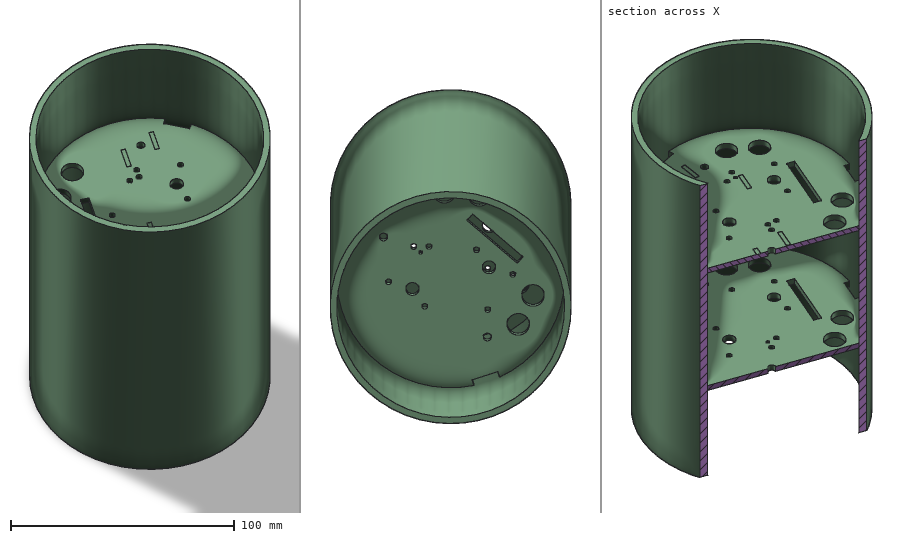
import cadquery as cq
import math

TUBE_HEIGHT = 170.0
TUBE_OUTER_DIAMETER = 108.0
BORE_DIAMETER = 102.0

PLATE_THICKNESS = 3.0
PLATE_SETBACK = 49.3
UPPER_PLATE_TOP = TUBE_HEIGHT - PLATE_SETBACK
LOWER_PLATE_TOP = PLATE_SETBACK + PLATE_THICKNESS

NOTCH_COUNT = 3
NOTCH_WIDTH = 12.0
NOTCH_FLAT_RADIUS = 48.0
FIRST_NOTCH_ANGLE = 30.0

CABLE_DIAMETER = 10.0
CABLE_CENTRES = [(36.9, -3.9), (33.0, -18.4), (-28.5, -28.0), (-15.8, -37.4)]
ROD_DIAMETER = 6.0
ROD_X = 9.5
ROD_Y = -15.1
ROD_CENTRES = [(ROD_X, ROD_Y), (-ROD_X, -ROD_Y)]
SCREW_DIAMETER = 3.5
SCREW_CENTRES = [(-35.2, 5.6), (30.5, 9.7)]
PEG_DIAMETER = 2.5
DIAGONAL_PEG = 19.7
CROSS_PEG_X = 22.1
CROSS_PEG_Y = 17.5
SIDE_PEG_X = 17.0
SIDE_PEG_Y = 4.6
PEG_CENTRES = [
    (-DIAGONAL_PEG, DIAGONAL_PEG),
    (DIAGONAL_PEG, -DIAGONAL_PEG),
    (0, CROSS_PEG_Y),
    (0, -CROSS_PEG_Y),
    (-CROSS_PEG_X, 0),
    (CROSS_PEG_X, 0),
    (-SIDE_PEG_X, -SIDE_PEG_Y),
]

WIRE_DIAMETER = 1.6
WIRE_X = 18.0
UPPER_PEG_CENTRES = [(SIDE_PEG_X, SIDE_PEG_Y), (-WIRE_X, 0)]
UPPER_WIRE_CENTRES = [(WIRE_X, 0)]
LOWER_WIRE_CENTRES = [(-WIRE_X, 0)]

WINDOW_LENGTH = 30.1
WINDOW_WIDTH = 3.9
WINDOW_X = 2.7
WINDOW_Y = -26.9

RECESS_LENGTH = 10.0
RECESS_WIDTH = 2.0
RECESS_DEPTH = 0.2
RECESS_PLACES = [(-36.2, 12.0, 0), (-30.0, -2.7, 0), (13.6, -2.7, 0), (30.1, 16.8, 15)]


def make_tube():
    ring = cq.Workplane("XY").circle(TUBE_OUTER_DIAMETER / 2).circle(BORE_DIAMETER / 2)
    return ring.extrude(TUBE_HEIGHT)


def drill(plate, diameter, centres):
    drills = cq.Workplane("XY").pushPoints(centres).circle(diameter / 2).extrude(-PLATE_THICKNESS)
    return plate.cut(drills)


def cut_rectangle(plate, length, width, depth, x, y, turn=0):
    cutter = cq.Workplane("XY").rect(length, width).extrude(-depth)
    cutter = cutter.rotate((0, 0, 0), (0, 0, 1), turn).translate((x, y, 0))
    return plate.cut(cutter)


def cut_notches(plate):
    cutter_length = BORE_DIAMETER / 2 - NOTCH_FLAT_RADIUS
    cutter_radius = NOTCH_FLAT_RADIUS + cutter_length / 2
    for i in range(NOTCH_COUNT):
        angle = FIRST_NOTCH_ANGLE + i * 360 / NOTCH_COUNT
        x = cutter_radius * math.cos(math.radians(angle))
        y = cutter_radius * math.sin(math.radians(angle))
        plate = cut_rectangle(plate, cutter_length, NOTCH_WIDTH, PLATE_THICKNESS, x, y, angle)
    return plate


def make_common_plate():
    plate = cq.Workplane("XY").circle(BORE_DIAMETER / 2).extrude(-PLATE_THICKNESS)
    plate = cut_notches(plate)
    plate = drill(plate, CABLE_DIAMETER, CABLE_CENTRES)
    plate = drill(plate, ROD_DIAMETER, ROD_CENTRES)
    plate = drill(plate, SCREW_DIAMETER, SCREW_CENTRES)
    plate = drill(plate, PEG_DIAMETER, PEG_CENTRES)
    return cut_rectangle(plate, WINDOW_LENGTH, WINDOW_WIDTH, PLATE_THICKNESS, WINDOW_X, WINDOW_Y)


def make_upper_plate():
    plate = make_common_plate()
    plate = drill(plate, PEG_DIAMETER, UPPER_PEG_CENTRES)
    plate = drill(plate, WIRE_DIAMETER, UPPER_WIRE_CENTRES)
    for x, y, turn in RECESS_PLACES:
        plate = cut_rectangle(plate, RECESS_LENGTH, RECESS_WIDTH, RECESS_DEPTH, x, y, turn)
    return plate.translate((0, 0, UPPER_PLATE_TOP))


def make_lower_plate():
    plate = drill(make_common_plate(), WIRE_DIAMETER, LOWER_WIRE_CENTRES)
    return plate.translate((0, 0, LOWER_PLATE_TOP))


tube = make_tube()
upper_plate = make_upper_plate()
lower_plate = make_lower_plate()

result = cq.Compound.makeCompound([tube.val(), upper_plate.solids().val(), lower_plate.solids().val()])